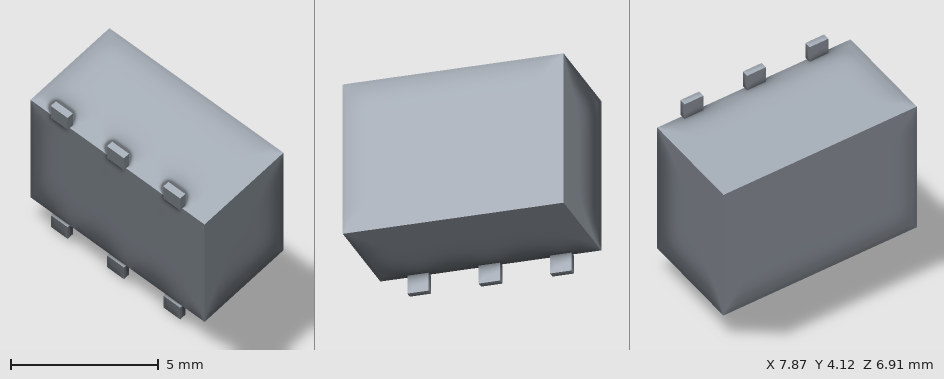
import cadquery as cq

length = 7.87
depth = 4.12
height = 6.91

housing_height = 5.57
lead_standoff = 0.1

lead_width = 0.76
lead_thickness = 0.26
lead_pitch = 2.54
leads_per_row = 3
lead_length = (height - housing_height) / 2

lead_front = -depth / 2
housing_front = lead_front + lead_standoff
housing_depth = depth / 2 - housing_front


def block(size_x, size_y, size_z, center_x, front_y, center_z):
    """Box centred in X and Z, with its front face at front_y."""
    return (
        cq.Workplane("XY")
        .box(size_x, size_y, size_z, centered=(True, False, True))
        .translate((center_x, front_y, center_z))
    )


def make_housing():
    return block(length, housing_depth, housing_height, 0, housing_front, 0)


def make_lead(center_x, side):
    """Lead butting against the top (side = 1) or bottom (side = -1) of the housing."""
    center_z = side * (housing_height + lead_length) / 2
    return block(lead_width, lead_thickness, lead_length, center_x, lead_front, center_z)


housing = make_housing()

leads = []
for side in (1, -1):
    for index in range(leads_per_row):
        center_x = (index - (leads_per_row - 1) / 2) * lead_pitch
        leads.append(make_lead(center_x, side))

result = cq.Compound.makeCompound([housing.val(), *[lead.val() for lead in leads]])